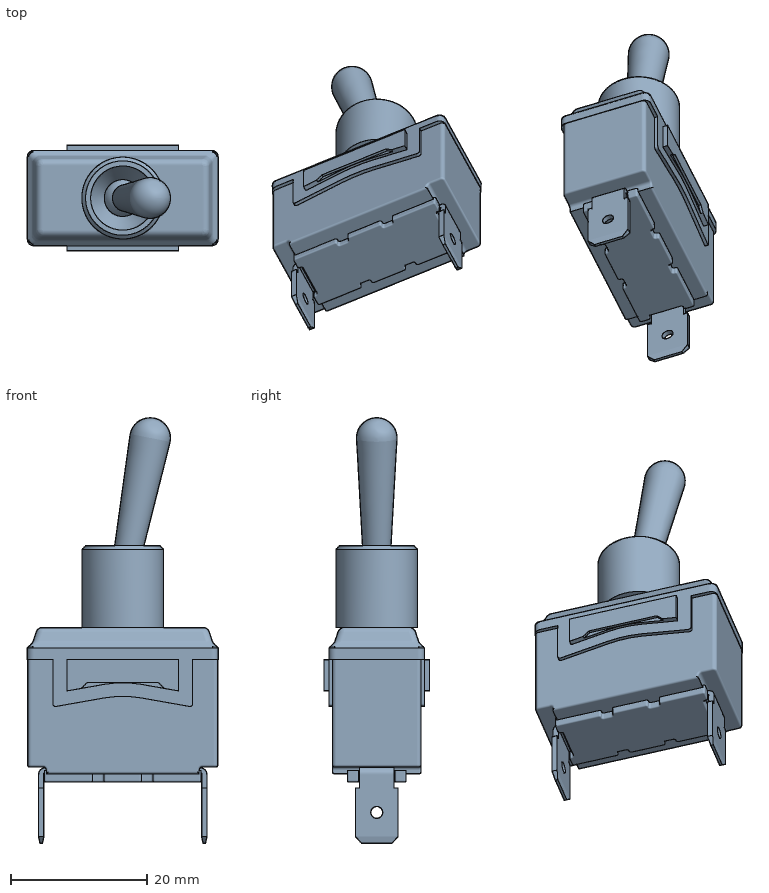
import cadquery as cq
import math


EDGE_MARGIN = 0.1

HOUSING_LENGTH = 27.9
HOUSING_WIDTH = 13.0
HOUSING_BOTTOM = 10.2
HOUSING_CORNER_RADIUS = 0.6
HOUSING_BOTTOM_RADIUS = 0.3
STEP_TOP = 11.2
STEP_HALF_LENGTH = 11.2
STEP_RADIUS = 0.5

RIB_LENGTH = 23.0
RIB_WIDTH = 8.6
RIB_BOTTOM = 9.0
RIB_EDGE_RADIUS = 0.3
RIB_BOTTOM_RADIUS = 0.2
RIB_BLADE_NOTCH_WIDTH = 5.3
RIB_SINK = 0.5
RIB_ROOT = HOUSING_BOTTOM + RIB_SINK
RIB_NOTCH_X = 3.6
RIB_NOTCH_WIDTH = 1.7
RIB_NOTCH_DEPTH = 0.7

COVER_LENGTH = 28.0
COVER_WIDTH = 14.0
COVER_BOTTOM = 26.95
COVER_TOP = 31.65
COVER_CORNER_RADIUS = 1.0
SHOULDER_BOTTOM = 28.65
SHOULDER_CHAMFER = 0.8
CAP_DRAFT = 18.0
CAP_TOP_RADIUS = 1.0
CAP_FOOT_RADIUS = 1.0

APRON_HALF_LENGTH = 10.25
APRON_CORNER_Z = 20.0
APRON_CORNER_RADIUS = 0.4
APRON_CREST_RADIUS = 15.0
UNDERSIDE_SLOPE = math.tan(math.radians(10))

LATCH_HALF_LENGTH = 8.2
LATCH_PROJECTION = 0.75
LATCH_CORNER_Z = 22.35
LATCH_RELIEF_Z = 23.6
LATCH_RELIEF_HALF_LENGTH = 5.2
LATCH_RELIEF_DEPTH = LATCH_PROJECTION / 2

BUSHING_DIAMETER = 12.0
BUSHING_HEIGHT = 12.0
BUSHING_TOP = COVER_TOP + BUSHING_HEIGHT
BUSHING_RIM_CHAMFER = 0.55
BUSHING_MOUTH_DIAMETER = 9.4
BUSHING_THROAT_DIAMETER = 5.4

TOTAL_HEIGHT = 62.41
LEVER_TILT = 11.0
LEVER_TIP_RADIUS = 3.0
LEVER_ROOT_RADIUS = 1.85
LEVER_LENGTH = 21.0
PIVOT_Z = TOTAL_HEIGHT - LEVER_TIP_RADIUS - LEVER_LENGTH * math.cos(math.radians(LEVER_TILT))
BALL_RADIUS = 3.0
THROAT_Z = PIVOT_Z + math.sqrt(BALL_RADIUS**2 - (BUSHING_THROAT_DIAMETER / 2) ** 2)

BLADE_OUTER_X = 12.35
BLADE_THICKNESS = 0.8
BLADE_WIDTH = 6.3
BLADE_NECK_WIDTH = 5.1
BLADE_SHOULDER_Z = 8.15
BLADE_TOP = 11.1
BLADE_BEND_RADIUS = 1.0
BLADE_INNER_END = 9.0
BLADE_HOLE_DIAMETER = 1.7
BLADE_HOLE_Z = 4.55
BLADE_TIP_WIDTH = 4.4
BLADE_TIP_HEIGHT = 1.0
BLADE_TIP_THICKNESS = 0.4


def block(length, width, bottom, top):
    """Box centred on X and Y between two heights."""
    return cq.Workplane("XY", origin=(0, 0, bottom)).rect(length, width).extrude(top - bottom)


def both_sides(shape, plane):
    """The shape joined to its mirror image."""
    return shape.union(shape.mirror(plane))


def make_housing():
    body = block(HOUSING_LENGTH, HOUSING_WIDTH, HOUSING_BOTTOM, COVER_BOTTOM)
    body = body.edges("|Z").fillet(HOUSING_CORNER_RADIUS)
    step_depth = HOUSING_LENGTH / 2 - STEP_HALF_LENGTH
    for side in (-1, 1):
        step = (
            block(2 * step_depth, 2 * HOUSING_WIDTH, RIB_BOTTOM, STEP_TOP)
            .edges("|Y and >Z").fillet(STEP_RADIUS)
            .translate((side * HOUSING_LENGTH / 2, 0, 0))
        )
        body = body.cut(step)
    lower_edges = cq.selectors.BoxSelector(
        (-HOUSING_LENGTH, -HOUSING_WIDTH, RIB_BOTTOM),
        (HOUSING_LENGTH, HOUSING_WIDTH, STEP_TOP + EDGE_MARGIN),
    )
    return body.edges(lower_edges).edges("not(|Y)").fillet(HOUSING_BOTTOM_RADIUS)


def make_rib():
    rib = block(RIB_LENGTH, RIB_WIDTH, RIB_BOTTOM, RIB_ROOT)
    for x in (-RIB_NOTCH_X, RIB_NOTCH_X):
        notch = block(RIB_NOTCH_WIDTH, 2 * RIB_NOTCH_DEPTH, RIB_BOTTOM, RIB_ROOT)
        for side in (-1, 1):
            rib = rib.cut(notch.translate((x, side * RIB_WIDTH / 2, 0)))
    for side in (-1, 1):
        notch = block(2 * RIB_NOTCH_DEPTH, RIB_BLADE_NOTCH_WIDTH, RIB_BOTTOM, RIB_ROOT)
        rib = rib.cut(notch.translate((side * RIB_LENGTH / 2, 0, 0)))
    rib = rib.edges("|Z").fillet(RIB_EDGE_RADIUS)
    return rib.faces("<Z").edges().fillet(RIB_BOTTOM_RADIUS)


def make_cover():
    """Straight walls, a 45 degree shoulder and a drafted cap, with rounded corners throughout."""
    walls = block(COVER_LENGTH, COVER_WIDTH, COVER_BOTTOM, SHOULDER_BOTTOM)
    shoulder = (
        cq.Workplane("XY", origin=(0, 0, SHOULDER_BOTTOM))
        .rect(COVER_LENGTH, COVER_WIDTH)
        .extrude(SHOULDER_CHAMFER, taper=45)
    )
    cap_bottom = SHOULDER_BOTTOM + SHOULDER_CHAMFER
    cap = (
        cq.Workplane("XY", origin=(0, 0, cap_bottom))
        .rect(COVER_LENGTH - 2 * SHOULDER_CHAMFER, COVER_WIDTH - 2 * SHOULDER_CHAMFER)
        .extrude(COVER_TOP - cap_bottom, taper=CAP_DRAFT)
    )
    cap_foot = cq.selectors.BoxSelector(
        (-COVER_LENGTH, -COVER_WIDTH, cap_bottom - EDGE_MARGIN),
        (COVER_LENGTH, COVER_WIDTH, cap_bottom + EDGE_MARGIN),
    )
    cover = walls.union(shoulder).union(cap)
    cover = cover.edges(cap_foot).fillet(CAP_FOOT_RADIUS)
    cover = cover.edges("not #Z").fillet(COVER_CORNER_RADIUS)
    return cover.faces(">Z").edges().fillet(CAP_TOP_RADIUS)


def gable_outline(half_length, top, corner_z, crest_radius):
    """Front outline with a straight top and an underside rising to a rounded crest."""
    tilt = math.atan(UNDERSIDE_SLOPE)
    crest_half = crest_radius * math.sin(tilt)
    crest_start_z = corner_z + (half_length - crest_half) * UNDERSIDE_SLOPE
    crest_z = crest_start_z + crest_radius * (1 - math.cos(tilt))
    return (
        cq.Workplane("XZ")
        .moveTo(-half_length, top)
        .lineTo(-half_length, corner_z)
        .lineTo(-crest_half, crest_start_z)
        .threePointArc((0, crest_z), (crest_half, crest_start_z))
        .lineTo(half_length, corner_z)
        .lineTo(half_length, top)
        .close()
    )


def make_aprons():
    apron = gable_outline(APRON_HALF_LENGTH, COVER_BOTTOM, APRON_CORNER_Z, APRON_CREST_RADIUS)
    apron = apron.extrude(COVER_WIDTH / 2)
    for end in ("<X", ">X"):
        apron = apron.faces(end).edges("|Y and <Z").fillet(APRON_CORNER_RADIUS)
    return both_sides(apron, "XZ")


def make_latches():
    latch_face = COVER_WIDTH / 2 + LATCH_PROJECTION
    latch = gable_outline(LATCH_HALF_LENGTH, COVER_BOTTOM, LATCH_CORNER_Z, APRON_CREST_RADIUS)
    latch = latch.extrude(latch_face)
    relief_drop = LATCH_RELIEF_Z - LATCH_CORNER_Z
    relief_base = LATCH_RELIEF_HALF_LENGTH + relief_drop
    relief = (
        cq.Workplane("XZ", origin=(0, LATCH_RELIEF_DEPTH - latch_face, 0))
        .moveTo(-LATCH_RELIEF_HALF_LENGTH, LATCH_RELIEF_Z)
        .lineTo(LATCH_RELIEF_HALF_LENGTH, LATCH_RELIEF_Z)
        .lineTo(relief_base, LATCH_CORNER_Z)
        .lineTo(-relief_base, LATCH_CORNER_Z)
        .close()
        .extrude(LATCH_PROJECTION)
    )
    return both_sides(latch.cut(relief), "XZ")


def make_bushing():
    bushing = (
        cq.Workplane("XY", origin=(0, 0, COVER_TOP))
        .circle(BUSHING_DIAMETER / 2)
        .extrude(BUSHING_HEIGHT)
        .faces(">Z").edges().chamfer(BUSHING_RIM_CHAMFER)
    )
    mouth = (
        cq.Workplane("XZ")
        .moveTo(0, THROAT_Z)
        .lineTo(BUSHING_THROAT_DIAMETER / 2, THROAT_Z)
        .lineTo(BUSHING_MOUTH_DIAMETER / 2, BUSHING_TOP)
        .lineTo(0, BUSHING_TOP)
        .close()
        .revolve(360, (0, 0, 0), (0, 1, 0))
    )
    return bushing.cut(mouth)


def make_lever():
    """Tapered lever with a round tip, growing from the pivot ball and tilted about Y."""
    profile = (
        cq.Workplane("XZ")
        .lineTo(LEVER_ROOT_RADIUS, 0)
        .lineTo(LEVER_TIP_RADIUS, LEVER_LENGTH)
        .radiusArc((0, LEVER_LENGTH + LEVER_TIP_RADIUS), -LEVER_TIP_RADIUS)
        .close()
    )
    lever = profile.revolve(360, (0, 0, 0), (0, 1, 0))
    lever = lever.rotate((0, 0, 0), (0, 1, 0), LEVER_TILT)
    return lever.union(cq.Workplane("XY").sphere(BALL_RADIUS)).translate((0, 0, PIVOT_Z))


def make_terminals():
    """Pair of bent blades; each runs level into the housing above its bend."""
    inner_x = BLADE_OUTER_X - BLADE_THICKNESS
    mid_x = BLADE_OUTER_X - BLADE_THICKNESS / 2
    tip_half = BLADE_TIP_THICKNESS / 2
    side_profile = (
        cq.Workplane("XZ", origin=(0, BLADE_WIDTH / 2, 0))
        .moveTo(mid_x - tip_half, 0)
        .lineTo(mid_x + tip_half, 0)
        .lineTo(BLADE_OUTER_X, BLADE_TIP_HEIGHT)
        .lineTo(BLADE_OUTER_X, BLADE_TOP - BLADE_BEND_RADIUS)
        .radiusArc((BLADE_OUTER_X - BLADE_BEND_RADIUS, BLADE_TOP), -BLADE_BEND_RADIUS)
        .lineTo(BLADE_INNER_END, BLADE_TOP)
        .lineTo(BLADE_INNER_END, BLADE_TOP - BLADE_THICKNESS)
        .lineTo(inner_x, BLADE_TOP - BLADE_THICKNESS)
        .lineTo(inner_x, BLADE_TIP_HEIGHT)
        .close()
        .extrude(BLADE_WIDTH)
    )
    outline = (
        cq.Workplane("YZ")
        .moveTo(-BLADE_TIP_WIDTH / 2, 0)
        .lineTo(BLADE_TIP_WIDTH / 2, 0)
        .lineTo(BLADE_WIDTH / 2, BLADE_TIP_HEIGHT)
        .lineTo(BLADE_WIDTH / 2, BLADE_SHOULDER_Z)
        .lineTo(BLADE_NECK_WIDTH / 2, BLADE_SHOULDER_Z)
        .lineTo(BLADE_NECK_WIDTH / 2, BLADE_TOP)
        .lineTo(-BLADE_NECK_WIDTH / 2, BLADE_TOP)
        .lineTo(-BLADE_NECK_WIDTH / 2, BLADE_SHOULDER_Z)
        .lineTo(-BLADE_WIDTH / 2, BLADE_SHOULDER_Z)
        .lineTo(-BLADE_WIDTH / 2, BLADE_TIP_HEIGHT)
        .close()
        .extrude(HOUSING_LENGTH / 2)
    )
    hole = (
        cq.Workplane("YZ")
        .center(0, BLADE_HOLE_Z)
        .circle(BLADE_HOLE_DIAMETER / 2)
        .extrude(HOUSING_LENGTH / 2)
    )
    return both_sides(side_profile.intersect(outline).cut(hole), "YZ")


result = make_housing()
for piece in (
    make_rib(),
    make_cover(),
    make_aprons(),
    make_latches(),
    make_bushing(),
    make_lever(),
    make_terminals(),
):
    result = result.union(piece)